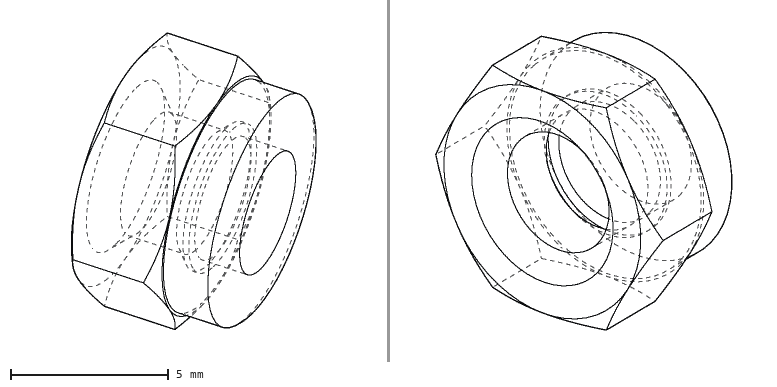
import cadquery as cq
import math

total_length = 5.0
corner_width = 9.24
hex_length = 3.2
chamfer_angle = 30.0
collar_diameter = 7.8
rim_length = 0.24
rim_drop = 0.46
bore_diameter = 4.13
countersink_diameter = 5.75
groove_start = 2.78
groove_chamfer = 0.43
groove_floor_length = 0.2

hex_flats = corner_width * math.cos(math.pi / 6)
corner_radius = corner_width / 2
flat_radius = hex_flats / 2
collar_radius = collar_diameter / 2
bore_radius = bore_diameter / 2
countersink_radius = countersink_diameter / 2
countersink_depth = countersink_radius - bore_radius
groove_radius = bore_radius + groove_chamfer
groove_floor_start = groove_start + groove_chamfer
groove_end = groove_floor_start + groove_floor_length


def revolve_about_x(profile):
    """Close a profile of (X, radius) points and turn it about the X axis."""
    return profile.close().revolve(360, (0, 0, 0), (1, 0, 0))


def chamfered_hexagon():
    """Hexagon with corners on Y, trimmed at both ends by cones."""
    chamfer_length = (corner_radius - flat_radius) * math.tan(math.radians(chamfer_angle))
    prism = cq.Workplane("YZ").polygon(6, corner_width).extrude(hex_length)
    envelope = revolve_about_x(
        cq.Workplane("XY")
        .lineTo(0, flat_radius)
        .lineTo(chamfer_length, corner_radius)
        .lineTo(hex_length - chamfer_length, corner_radius)
        .lineTo(hex_length, flat_radius)
        .lineTo(hex_length, 0)
    )
    return prism.intersect(envelope)


def collar():
    """Round collar whose outer end curves in to meet the end face squarely."""
    collar_start = hex_length / 2
    rim_radius = (rim_length**2 + rim_drop**2) / (2 * rim_length)
    rim_end_radius = collar_radius - rim_drop
    half_angle = math.asin(rim_drop / rim_radius) / 2
    rim_middle = (
        total_length - rim_radius * (1 - math.cos(half_angle)),
        rim_end_radius + rim_radius * math.sin(half_angle),
    )
    return revolve_about_x(
        cq.Workplane("XY")
        .moveTo(collar_start, 0)
        .lineTo(collar_start, collar_radius)
        .lineTo(total_length - rim_length, collar_radius)
        .threePointArc(rim_middle, (total_length, rim_end_radius))
        .lineTo(total_length, 0)
    )


def bore():
    """Through bore with a conical entry and an inner groove that widens at 45 degrees."""
    return revolve_about_x(
        cq.Workplane("XY")
        .lineTo(0, countersink_radius)
        .lineTo(countersink_depth, bore_radius)
        .lineTo(groove_start, bore_radius)
        .lineTo(groove_floor_start, groove_radius)
        .lineTo(groove_end, groove_radius)
        .lineTo(groove_end, bore_radius)
        .lineTo(total_length, bore_radius)
        .lineTo(total_length, 0)
    )


result = chamfered_hexagon().union(collar()).cut(bore())